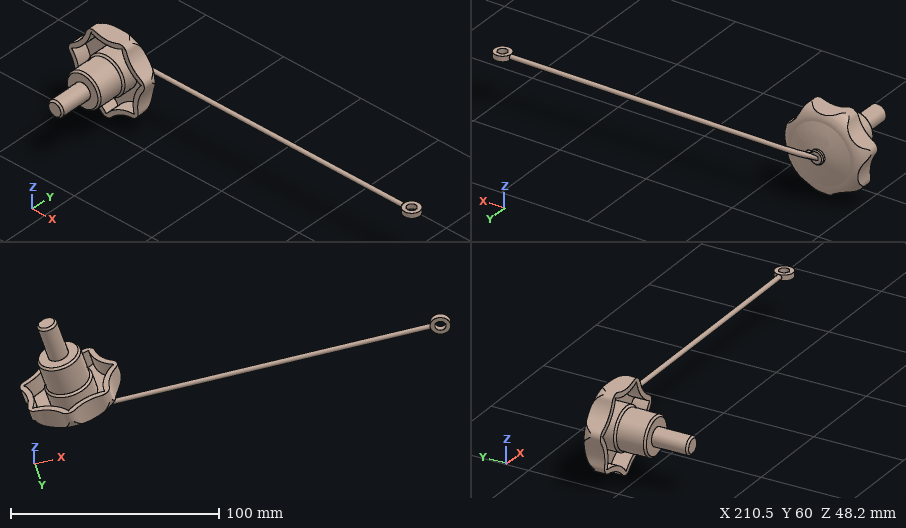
import cadquery as cq
import math

lobe_count = 7
lobe_radius = 4.5
lobe_center_radius = 20.6
valley_radius = 21.3
rim_wall = 3.0
outer_radius = lobe_center_radius + lobe_radius
rim_y = 37.0
dome_edge_y = 41.5
shoulder_radius = 17.3
shoulder_y = 49.2
dome_top_y = 52.2
cavity_depth = 8.8
cavity_round_diameter = 47.1
cavity_round = 2.5

hub_diameter = 21.9
hub_root_diameter = 24.0
hub_end_y = 20.0
hub_chamfer = 1.0
stud_diameter = 10.0
stud_chamfer = 1.0

button_diameter = 8.0
button_tab_reach = 5.9
button_chamfer = 0.6
button_tab_width = 3.5
button_top_y = 53.9
tether_y = 55.0
tether_diameter = 3.0
bend_start_x = 15.2
bend_end_x = -1.0
bend_radius = 63.1
ring_diameter = 10.0
ring_hole_diameter = 5.3
ring_thickness = 3.2

total_length = 210.5
lobe_pitch = 2 * math.pi / lobe_count
bottom_angle = -math.pi / 2
widest_lobe_angle = bottom_angle + 2 * lobe_pitch
knob_half_width = lobe_center_radius * math.cos(widest_lobe_angle) + lobe_radius
ring_x = total_length - knob_half_width - ring_diameter / 2

half_pitch_x = lobe_center_radius * math.sin(lobe_pitch / 2)
half_pitch_y = lobe_center_radius * math.cos(lobe_pitch / 2)
valley_rise = valley_radius - half_pitch_y
lobe_offset_squared = half_pitch_x**2 + valley_rise**2
scallop_radius = (lobe_offset_squared - lobe_radius**2) / (2 * (lobe_radius - valley_rise))
scallop_center_radius = valley_radius + scallop_radius


def polar(radius, angle):
    return radius * math.cos(angle), radius * math.sin(angle)


def plane_at(y):
    """Sketch plane across the knob axis; extrusion goes to -Y."""
    return cq.Workplane("XZ", origin=(0, y, 0))


def cylinder(diameter, y_low, y_high):
    return plane_at(y_high).circle(diameter / 2).extrude(y_high - y_low)


def tangent_point(lobe_angle, scallop_angle):
    """Point where a lobe arc meets a neighbouring scallop arc."""
    lobe = polar(lobe_center_radius, lobe_angle)
    scallop = polar(scallop_center_radius, scallop_angle)
    share = lobe_radius / (lobe_radius + scallop_radius)
    return tuple(a + share * (b - a) for a, b in zip(lobe, scallop))


def star_prism(y_low, y_high):
    first_valley = bottom_angle - lobe_pitch / 2
    sketch = plane_at(y_high).moveTo(*tangent_point(bottom_angle, first_valley))
    for i in range(lobe_count):
        lobe = bottom_angle + i * lobe_pitch
        valley = lobe + lobe_pitch / 2
        sketch = sketch.threePointArc(polar(outer_radius, lobe), tangent_point(lobe, valley))
        sketch = sketch.threePointArc(polar(valley_radius, valley), tangent_point(lobe + lobe_pitch, valley))
    return sketch.close().extrude(y_high - y_low)


def cavity():
    """Hollow under the knob: even wall along the scallops, ceiling rounded at the outside."""
    inner_valley = valley_radius - rim_wall
    inner_scallop = scallop_radius + rim_wall
    along = scallop_center_radius * math.cos(lobe_pitch / 2)
    across = scallop_center_radius * math.sin(lobe_pitch / 2)
    corner = along - math.sqrt(inner_scallop**2 - across**2)
    sketch = plane_at(rim_y + cavity_depth).moveTo(*polar(corner, bottom_angle))
    for i in range(lobe_count):
        valley = bottom_angle + (i + 0.5) * lobe_pitch
        sketch = sketch.threePointArc(polar(inner_valley, valley), polar(corner, valley + lobe_pitch / 2))
    ceiling_round = cylinder(cavity_round_diameter, rim_y, rim_y + cavity_depth)
    ceiling_round = ceiling_round.faces(">Y").edges().fillet(cavity_round)
    return sketch.close().extrude(cavity_depth).intersect(ceiling_round)


def dome():
    """Turned envelope with a rounded shoulder and a shallow crown."""
    shoulder_mid = (
        shoulder_radius + (outer_radius - shoulder_radius) * math.sqrt(0.5),
        dome_edge_y + (shoulder_y - dome_edge_y) * math.sqrt(0.5),
    )
    crown_mid = (shoulder_radius / 2, shoulder_y + 0.75 * (dome_top_y - shoulder_y))
    return (
        cq.Workplane("XY")
        .moveTo(0, rim_y)
        .lineTo(outer_radius, rim_y)
        .lineTo(outer_radius, dome_edge_y)
        .threePointArc(shoulder_mid, (shoulder_radius, shoulder_y))
        .threePointArc(crown_mid, (0, dome_top_y))
        .close()
        .revolve(360, (0, 0, 0), (0, 1, 0))
    )


def hub_and_stud():
    stud = cylinder(stud_diameter, 0, hub_end_y + hub_chamfer).faces("<Y").chamfer(stud_chamfer)
    hub = cylinder(hub_diameter, hub_end_y, rim_y).faces("<Y").chamfer(hub_chamfer)
    flare = (hub_root_diameter - hub_diameter) / 2
    root = cylinder(hub_root_diameter, rim_y, rim_y + cavity_depth)
    flare_start = cq.Vector(0, rim_y - flare, 0)
    cone = cq.Workplane(
        cq.Solid.makeCone(hub_diameter / 2, hub_root_diameter / 2, flare, flare_start, cq.Vector(0, 1, 0))
    )
    return hub.union(stud).union(cone).union(root)


def button():
    """Round button on the crown, with a short tab under the tether."""
    disc = cylinder(button_diameter, shoulder_y, button_top_y).faces(">Y").chamfer(button_chamfer)
    height = button_top_y - shoulder_y
    tab = cq.Workplane("XY").box(button_tab_reach, height, button_tab_width, centered=(False, False, True))
    return disc.union(tab.translate((0, shoulder_y, 0)))


def tether():
    """Straight cord that curves down onto the button, with an eyelet at its far end."""
    bend_angle = math.asin((bend_start_x - bend_end_x) / bend_radius)
    bend_center_y = tether_y - bend_radius

    def on_bend(angle):
        return bend_start_x - bend_radius * math.sin(angle), bend_center_y + bend_radius * math.cos(angle)

    path = (
        cq.Workplane("XY")
        .moveTo(ring_x, tether_y)
        .lineTo(bend_start_x, tether_y)
        .threePointArc(on_bend(bend_angle / 2), on_bend(bend_angle))
    )
    section = cq.Workplane("YZ", origin=(ring_x, tether_y, 0)).circle(tether_diameter / 2)
    cord = section.sweep(path)
    base = cq.Workplane("XY", origin=(ring_x, tether_y, -ring_thickness / 2))
    ring = base.circle(ring_diameter / 2).extrude(ring_thickness)
    hole = base.circle(ring_hole_diameter / 2).extrude(ring_thickness)
    return cord.union(ring).cut(hole)


knob = star_prism(rim_y, dome_top_y).intersect(dome()).cut(cavity())
result = knob.union(hub_and_stud()).union(button()).union(tether())